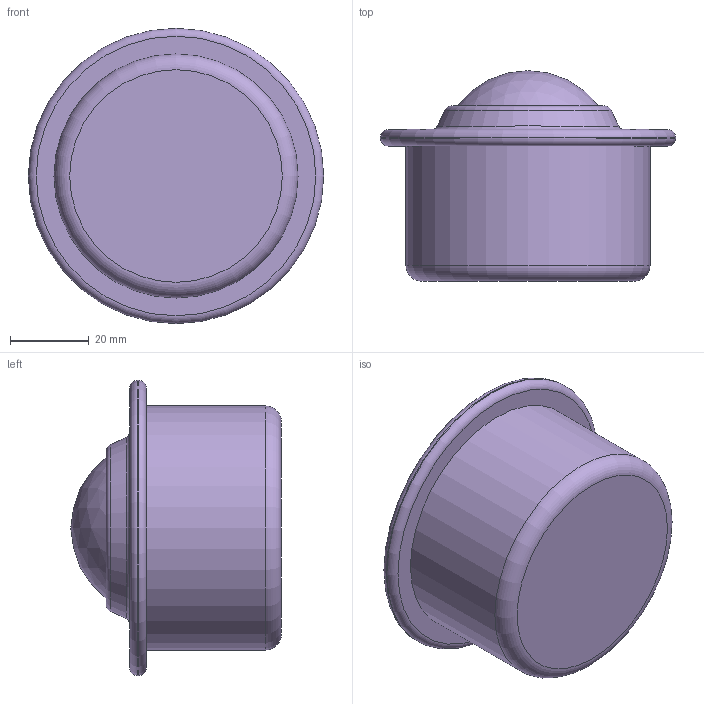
import cadquery as cq
import math


cup_radius = 62.0 / 2
cup_depth = 34.3
cup_fillet = 4.0

flange_radius = 75.0 / 2
flange_thickness = 4.2
flange_fillet = 2.0

collar_height = 6.0
collar_base_radius = 23.4
collar_taper = 25.0
collar_top_fillet = 2.0
collar_base_fillet = 1.5

overall_length = 53.46
ball_radius = 45.0 / 2

collar_top = flange_thickness + collar_height
collar_top_radius = collar_base_radius - collar_height * math.tan(math.radians(collar_taper))
ball_center = overall_length - cup_depth - ball_radius


def make_housing():
    """Revolve the sharp-cornered profile of cup, flange and collar about Y."""
    profile = (
        cq.Workplane("XY")
        .moveTo(0, -cup_depth)
        .lineTo(cup_radius, -cup_depth)
        .lineTo(cup_radius, 0)
        .lineTo(flange_radius, 0)
        .lineTo(flange_radius, flange_thickness)
        .lineTo(collar_base_radius, flange_thickness)
        .lineTo(collar_top_radius, collar_top)
        .lineTo(0, collar_top)
        .close()
    )
    return profile.revolve(360, (0, 0, 0), (0, 1, 0))


def round_circle(body, y, edge_radius, fillet_radius):
    """Fillet the circular edge of the given radius at height y on the axis."""
    tolerance = 0.001

    def is_corner(edge):
        same_radius = abs(edge.radius() - edge_radius) < tolerance
        same_height = abs(edge.arcCenter().y - y) < tolerance
        return same_radius and same_height

    return body.edges("%CIRCLE").filter(is_corner).fillet(fillet_radius)


def make_ball():
    """Full ball, seated in the housing with its cap standing out of the collar."""
    return cq.Workplane("XY").sphere(ball_radius).translate((0, ball_center, 0))


housing = make_housing()
housing = round_circle(housing, -cup_depth, cup_radius, cup_fillet)
housing = round_circle(housing, 0, flange_radius, flange_fillet)
housing = round_circle(housing, flange_thickness, flange_radius, flange_fillet)
housing = round_circle(housing, collar_top, collar_top_radius, collar_top_fillet)
housing = round_circle(housing, flange_thickness, collar_base_radius, collar_base_fillet)

result = housing.union(make_ball())